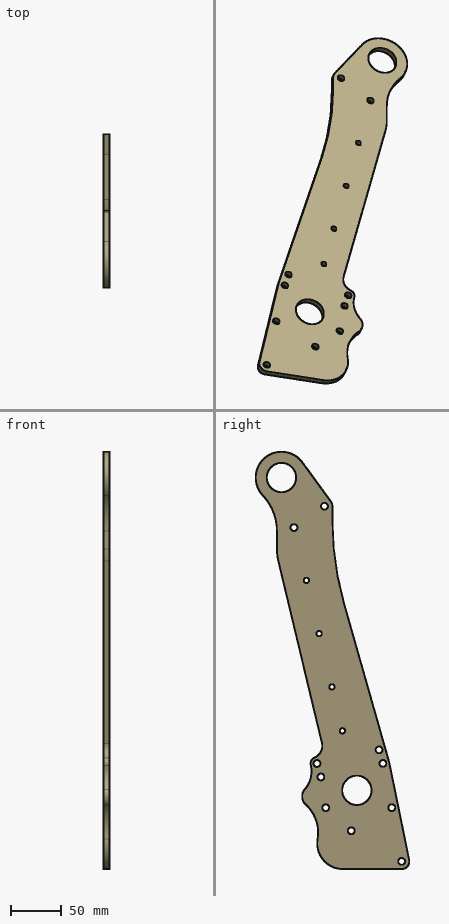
import cadquery as cq
import math

THICKNESS = 6.35

BORE_DIAMETER = 28.575
LARGE_HOLE_DIAMETER = 6.53
SMALL_HOLE_DIAMETER = 5.1

LOWER_BORE = (0.0, 0.0)
UPPER_BORE = (-73.95, 306.85)

HEEL_HOLE = (43.95, -69.75)
REAR_EDGE_HOLE = (25.55, 26.4)
SHOULDER_HOLE = (-31.75, 278.7)
BUMP_HOLE = (-39.15, 26.3)
LARGE_HOLES = [
    HEEL_HOLE,
    REAR_EDGE_HOLE,
    SHOULDER_HOLE,
    BUMP_HOLE,
    (21.8, 39.7),
    (34.3, -17.0),
    (-30.5, -17.1),
    (-35.3, 13.1),
    (-5.5, -39.7),
    (-61.7, 257.75),
]

SMALL_HOLE_ROW_START = (-49.5, 206.0)
SMALL_HOLE_ROW_TILT = 13.46
SMALL_HOLE_ROW_OFFSETS = [0.0, 53.75, 107.5, 151.8]

HEAD_RADIUS = 25.4
SHOULDER_RADIUS = 7.9
REAR_SWEEP_RADIUS = 295.0
REAR_EDGE_RADIUS = 6.35
HEEL_RADIUS = 7.62
TOE_RADIUS = 25.4
TOE_HOLLOW_RADIUS = 37.1
NOSE_RADIUS = 10.7
NOSE_HOLLOW_RADIUS = 26.6
BUMP_RADIUS = 6.35
BUMP_HOLLOW_RADIUS = 12.3
FRONT_BEND_RADIUS = 50.8
NECK_RADIUS = 50.8

REAR_SWEEP_CENTER_Z = 264.4
TOE_CENTER_Y = -13.6
NOSE_CENTER = (-43.1, -6.0)
FRONT_EDGE_Y = -78.55
FRONT_BEND_CENTER_Z = 237.0

TOUCH_TOLERANCE = 1e-4


def tangent_center(first, first_distance, second, second_distance):
    """Point at the given distances from two points, to the left when going from first to second."""
    dy = second[0] - first[0]
    dz = second[1] - first[1]
    span = math.hypot(dy, dz)
    along = (span**2 + first_distance**2 - second_distance**2) / (2 * span)
    aside = math.sqrt(first_distance**2 - along**2)
    return (
        first[0] + (along * dy - aside * dz) / span,
        first[1] + (along * dz + aside * dy) / span,
    )


def hollow_between(first, second, radius):
    """Concave circle touching two convex circles from outside, as an outline circle."""
    center = tangent_center(first[0], first[1] + radius, second[0], second[1] + radius)
    return (center, -radius)


def hollow_beside_front_edge(front_bend, bump, radius):
    """Concave circle above the bump, touching it and the straight edge parallel to the hole row."""
    tilt = math.radians(SMALL_HOLE_ROW_TILT)
    outward = (-math.cos(tilt), -math.sin(tilt))
    upward = (-math.sin(tilt), math.cos(tilt))
    (bend_y, bend_z), bend_radius = front_bend
    (bump_y, bump_z), bump_radius = bump

    across = (
        (bend_y - bump_y) * outward[0] + (bend_z - bump_z) * outward[1] + bend_radius + radius
    )
    along = math.sqrt((bump_radius + radius) ** 2 - across**2)
    center = (
        bump_y + across * outward[0] + along * upward[0],
        bump_z + across * outward[1] + along * upward[1],
    )
    return (center, -radius)


def outline_circles():
    """Circles the outline wraps around, clockwise seen from +X; a negative radius is concave."""
    head = (UPPER_BORE, HEAD_RADIUS)
    shoulder = (SHOULDER_HOLE, SHOULDER_RADIUS)
    rear_edge_y = SHOULDER_HOLE[0] + SHOULDER_RADIUS
    rear_sweep = ((rear_edge_y + REAR_SWEEP_RADIUS, REAR_SWEEP_CENTER_Z), -REAR_SWEEP_RADIUS)
    rear_edge = (REAR_EDGE_HOLE, REAR_EDGE_RADIUS)
    heel = (HEEL_HOLE, HEEL_RADIUS)
    bottom_z = HEEL_HOLE[1] - HEEL_RADIUS
    toe = ((TOE_CENTER_Y, bottom_z + TOE_RADIUS), TOE_RADIUS)
    nose = (NOSE_CENTER, NOSE_RADIUS)
    bump = (BUMP_HOLE, BUMP_RADIUS)
    front_bend = ((FRONT_EDGE_Y + FRONT_BEND_RADIUS, FRONT_BEND_CENTER_Z), FRONT_BEND_RADIUS)
    bump_hollow = hollow_beside_front_edge(front_bend, bump, BUMP_HOLLOW_RADIUS)

    neck_y = FRONT_EDGE_Y - NECK_RADIUS
    neck_drop = math.sqrt((HEAD_RADIUS + NECK_RADIUS) ** 2 - (neck_y - UPPER_BORE[0]) ** 2)
    neck = ((neck_y, UPPER_BORE[1] - neck_drop), -NECK_RADIUS)

    return [
        head,
        shoulder,
        rear_sweep,
        rear_edge,
        heel,
        toe,
        hollow_between(toe, nose, TOE_HOLLOW_RADIUS),
        nose,
        hollow_between(nose, bump, NOSE_HOLLOW_RADIUS),
        bump,
        bump_hollow,
        front_bend,
        neck,
    ]


def tangent_normal(first, second):
    """Angle of the outward normal of the line touching two successive outline circles."""
    first_center, first_radius = first
    second_center, second_radius = second
    dy = second_center[0] - first_center[0]
    dz = second_center[1] - first_center[1]
    ratio = (first_radius - second_radius) / math.hypot(dy, dz)
    return math.atan2(dz, dy) + math.acos(max(-1.0, min(1.0, ratio)))


def point_on(circle, angle):
    """Point of an outline circle where the outward normal has the given angle."""
    (center_y, center_z), radius = circle
    return (center_y + radius * math.cos(angle), center_z + radius * math.sin(angle))


def make_plate():
    """Plate whose outline wraps around the outline circles with arcs and tangent lines."""
    circles = outline_circles()
    count = len(circles)
    normals = [tangent_normal(circles[i], circles[(i + 1) % count]) for i in range(count)]

    end = point_on(circles[0], normals[-1])
    outline = cq.Workplane("YZ").moveTo(*end)
    for i, circle in enumerate(circles):
        start = point_on(circle, normals[i - 1])
        if math.dist(start, end) > TOUCH_TOLERANCE:
            outline = outline.lineTo(*start)
        turn = math.copysign(1.0, circle[1])
        sweep = (turn * (normals[i - 1] - normals[i])) % (2 * math.pi)
        middle = point_on(circle, normals[i - 1] - turn * sweep / 2)
        end = point_on(circle, normals[i])
        outline = outline.threePointArc(middle, end)
    return outline.close().extrude(THICKNESS)


def small_hole_centers():
    """Centres of the small holes, stepping down the tilted row."""
    tilt = math.radians(SMALL_HOLE_ROW_TILT)
    start_y, start_z = SMALL_HOLE_ROW_START
    return [
        (start_y + offset * math.sin(tilt), start_z - offset * math.cos(tilt))
        for offset in SMALL_HOLE_ROW_OFFSETS
    ]


def cut_holes(plate, centers, diameter):
    """Drill straight through the plate at each centre."""
    drills = cq.Workplane("YZ").pushPoints(centers).circle(diameter / 2).extrude(THICKNESS)
    return plate.cut(drills)


result = make_plate()
result = cut_holes(result, [LOWER_BORE, UPPER_BORE], BORE_DIAMETER)
result = cut_holes(result, LARGE_HOLES, LARGE_HOLE_DIAMETER)
result = cut_holes(result, small_hole_centers(), SMALL_HOLE_DIAMETER)